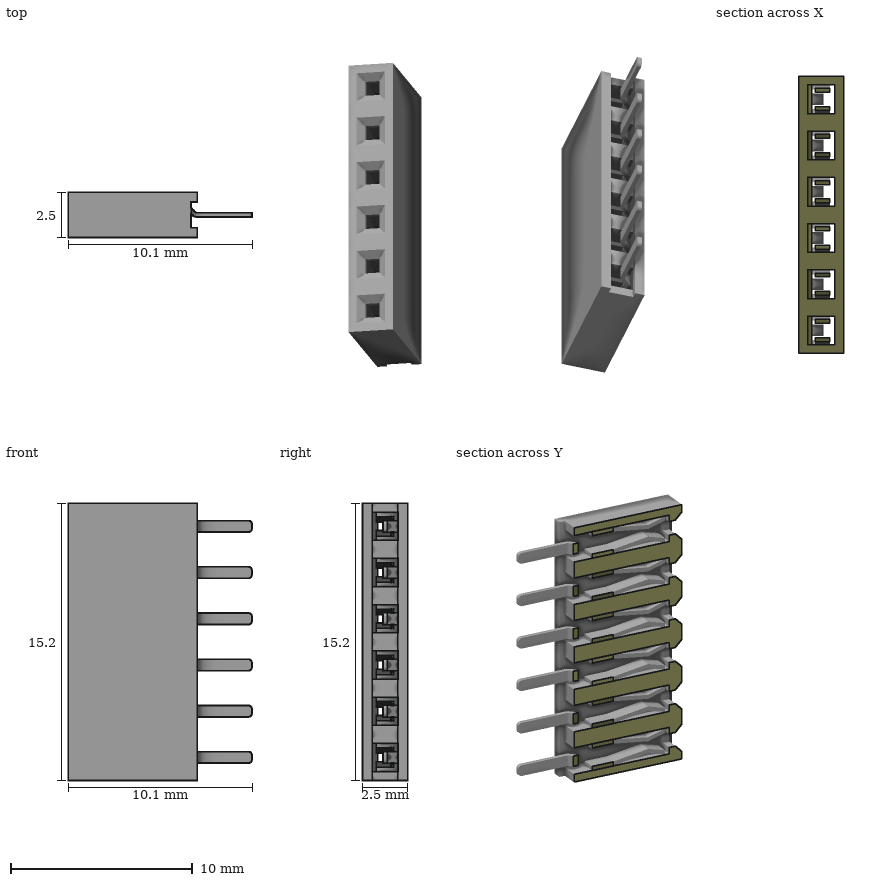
import cadquery as cq
import math


contact_count = 6
row_length = 15.24
pitch = row_length / contact_count

housing_length = 7.1
housing_thickness = 2.5
recess_depth = 0.35
recess_width = 1.4
mouth_size = 1.6
hole_size = 0.8
hole_length = 0.4
funnel_depth = (mouth_size - hole_size) / 2
cavity_start = funnel_depth + hole_length
recess_floor = housing_length - recess_depth

sheet = 0.25
overall_length = 10.1
tail_width = 0.64
tail_corner_radius = 0.2
tail_bend_start = 7.07
bend_inner_radius = 0.12
bend_radius = bend_inner_radius + sheet / 2
bend_angle = math.radians(45)

base_inner_y = 0.49
base_middle_y = base_inner_y + sheet / 2
base_outer_y = base_inner_y + sheet

blade_tip_x = 1.04
blade_pinch_x = 2.1
blade_tip_gap = 1.07
blade_pinch_gap = 0.45
blade_top_y = 0.34
blade_bottom_y = -0.49
side_wall_start = 4.27
side_wall_end = 5.64

cavity_width = blade_tip_gap + 2 * sheet
cavity_height = 2 * base_outer_y


def box(x_range, y_range, z_range):
    """Axis-aligned block between the given limits."""
    size = [high - low for low, high in (x_range, y_range, z_range)]
    corner = (x_range[0], y_range[0], z_range[0])
    return cq.Workplane("XY").box(*size, centered=False).translate(corner)


def centred(width):
    return (-width / 2, width / 2)


def make_socket_cutter():
    """Space removed for one contact: funnel, square hole and rear cavity."""
    funnel = (
        cq.Workplane("YZ")
        .rect(mouth_size, mouth_size)
        .workplane(offset=funnel_depth)
        .rect(hole_size, hole_size)
        .loft(ruled=True)
    )
    hole = box((funnel_depth, cavity_start), centred(hole_size), centred(hole_size))
    cavity = box((cavity_start, recess_floor), centred(cavity_height), centred(cavity_width))
    return funnel.union(hole).union(cavity)


def make_housing(contact_heights):
    body = box((0, housing_length), centred(housing_thickness), centred(row_length))
    rear_recess = box((recess_floor, housing_length), centred(recess_width), centred(row_length))
    body = body.cut(rear_recess)
    socket_cutter = make_socket_cutter()
    for z in contact_heights:
        body = body.cut(socket_cutter.translate((0, 0, z)))
    return body


def make_tail():
    """Flat solder tail, jogged by two 45 degree bends up to the level of the base."""
    bend_run = bend_radius * math.sin(bend_angle)
    bend_rise = bend_radius * (1 - math.cos(bend_angle))
    slope_rise = base_middle_y - 2 * bend_rise
    slope_run = slope_rise / math.tan(bend_angle)
    slope_start = (tail_bend_start - bend_run, bend_rise)
    slope_end = (slope_start[0] - slope_run, bend_rise + slope_rise)
    jog_end = (slope_end[0] - bend_run, base_middle_y)
    path = (
        cq.Workplane("XY")
        .moveTo(overall_length, 0)
        .lineTo(tail_bend_start, 0)
        .tangentArcPoint(slope_start, relative=False)
        .lineTo(*slope_end)
        .tangentArcPoint(jog_end, relative=False)
        .lineTo(side_wall_end, base_middle_y)
    )
    strip = cq.Workplane("YZ", origin=(overall_length, 0, 0)).rect(sheet, tail_width).sweep(path)
    return strip.faces(">X").edges("|Y").fillet(tail_corner_radius)


def make_blade():
    """Upper spring blade: closes in to the pinch line, then opens out to its side wall."""
    tip_z = blade_tip_gap / 2
    pinch_z = blade_pinch_gap / 2
    inner_line = [
        (blade_tip_x, tip_z),
        (blade_pinch_x, pinch_z),
        (side_wall_start, tip_z),
        (side_wall_end, tip_z),
    ]
    outer_line = [(x, z + sheet) for x, z in reversed(inner_line)]
    spring = (
        cq.Workplane("XZ", origin=(0, blade_top_y, 0))
        .polyline(inner_line + outer_line)
        .close()
        .extrude(blade_top_y - blade_bottom_y)
    )
    side_wall = box(
        (side_wall_start, side_wall_end),
        (blade_bottom_y, base_inner_y),
        (tip_z, tip_z + sheet),
    )
    return spring.union(side_wall)


def make_contact():
    base = box(
        (cavity_start, side_wall_end),
        (base_inner_y, base_outer_y),
        centred(cavity_width),
    )
    upper_blade = make_blade()
    lower_blade = upper_blade.mirror("XY")
    return base.union(make_tail()).union(upper_blade).union(lower_blade)


contact_heights = [(i - (contact_count - 1) / 2) * pitch for i in range(contact_count)]
housing = make_housing(contact_heights)
contact = make_contact()
contacts = [contact.translate((0, 0, z)).solids().val() for z in contact_heights]

result = cq.Compound.makeCompound([housing.solids().val(), *contacts])